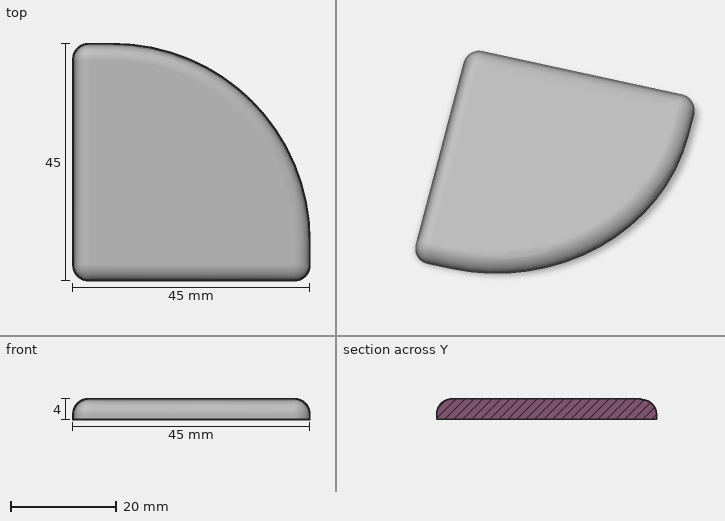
import cadquery as cq
import math

side = 45.0
thickness = 4.0
arc_radius = 37.5
edge_radius = 3.0

half = side / 2
arc_center = half - arc_radius
arc_mid = arc_center + arc_radius * math.cos(math.radians(45))

plate = (
    cq.Workplane("XY")
    .moveTo(-half, -half)
    .lineTo(half, -half)
    .lineTo(half, arc_center)
    .threePointArc((arc_mid, arc_mid), (arc_center, half))
    .lineTo(-half, half)
    .close()
    .extrude(thickness)
)

square_corners = [(-half, -half), (half, -half), (-half, half)]
rounded_edges = plate.faces(">Z").edges()
for x, y in square_corners:
    corner = cq.selectors.NearestToPointSelector((x, y, thickness / 2))
    rounded_edges = rounded_edges.add(plate.edges("|Z").edges(corner))

result = rounded_edges.fillet(edge_radius)